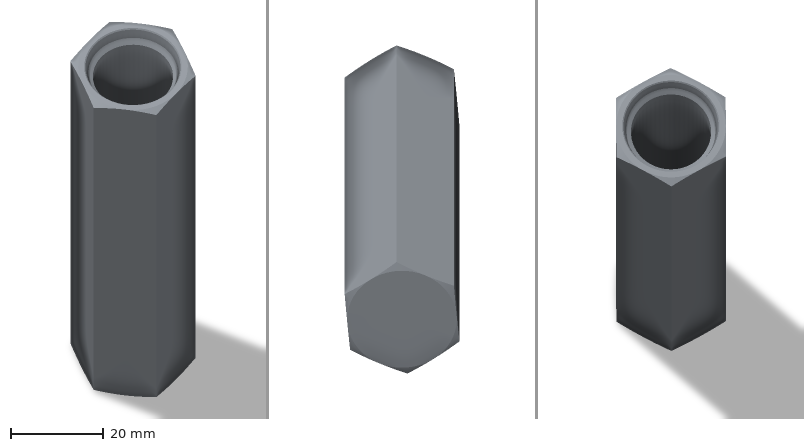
import cadquery as cq
import math

length = 101.6
across_flats = 23.8
corner_half_angle = 30.0
across_corners = across_flats / math.cos(math.radians(corner_half_angle))

bevel_angle = 20.0
bevel_diameter = 23.8

bore_diameter = 17.4
bore_depth = 76.2
drill_point_angle = 118.0

rim_diameter = 21.1
mouth_diameter = 20.6
mouth_floor_diameter = 19.5
mouth_depth = 2.4
seat_angle = 45.0


def turn(profile):
    """Revolve a closed (radius, height) outline about the Z axis."""
    return cq.Workplane("XZ").polyline(profile).close().revolve(360, (0, 0), (0, 1))


def make_hex_body():
    prism = cq.Workplane("XY").polygon(6, across_corners).extrude(length)
    return prism.rotate((0, 0, 0), (0, 0, 1), corner_half_angle)


def make_bevel_envelope():
    """Turned blank whose sloping ends trim the hexagon corners."""
    corner_radius = across_corners / 2
    end_radius = bevel_diameter / 2
    bevel_height = (corner_radius - end_radius) * math.tan(math.radians(bevel_angle))
    profile = [
        (0, 0),
        (end_radius, 0),
        (corner_radius, bevel_height),
        (corner_radius, length - bevel_height),
        (end_radius, length),
        (0, length),
    ]
    return turn(profile)


def make_bore():
    """Mouth, conical seat, straight bore and drill point as one turned cutter."""
    bore_radius = bore_diameter / 2
    mouth_radius = mouth_diameter / 2
    floor_radius = mouth_floor_diameter / 2
    rim_radius = rim_diameter / 2
    rim_height = rim_radius - mouth_radius
    seat_height = (floor_radius - bore_radius) * math.tan(math.radians(seat_angle))
    point_height = bore_radius / math.tan(math.radians(drill_point_angle / 2))
    profile = [
        (0, length),
        (rim_radius, length),
        (mouth_radius, length - rim_height),
        (floor_radius, length - mouth_depth),
        (bore_radius, length - mouth_depth - seat_height),
        (bore_radius, length - bore_depth),
        (0, length - bore_depth - point_height),
    ]
    return turn(profile)


result = make_hex_body().intersect(make_bevel_envelope()).cut(make_bore())